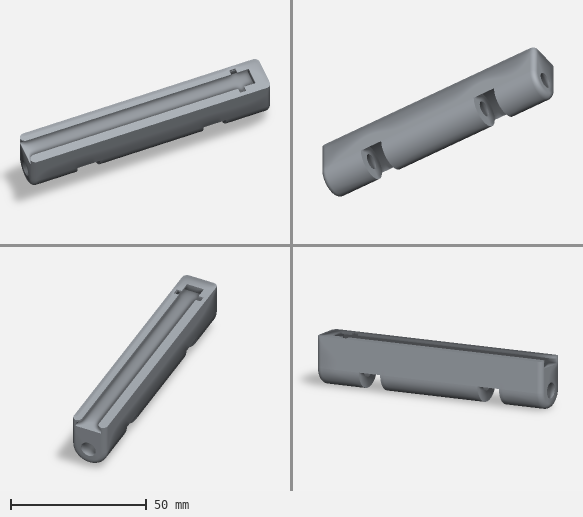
import cadquery as cq
import math

WIDTH = 14.0
LENGTH = 95.0
HEIGHT = 19.0
END_FILLET = 2.0

BORE_DIAMETER = 6.0

SLOT_CENTRE_X = -0.05
SLOT_OPENING = 6.9
SLOT_WIDTH = 10.6
SLOT_DEPTH = 2.75
LIP_THICKNESS = 0.75
SLOT_END_WALL = 5.0
LIP_FILLET = 2.0

LIP_NOTCH_WIDTH = 10.9
LIP_NOTCH_LENGTH = 2.4
LIP_NOTCH_FROM_END = 10.7

GAP_LENGTH = 9.0
GAP_FROM_END = 18.0

underside_radius = WIDTH / 2
top_z = HEIGHT - underside_radius
front_y = -LENGTH / 2
back_y = LENGTH / 2
slot_floor_z = top_z - SLOT_DEPTH
lip_bottom_z = top_z - LIP_THICKNESS
slot_end_y = back_y - SLOT_END_WALL


def slot_block(width, y_range, z_range):
    """Box centred on the slot in X, spanning the given Y and Z ranges."""
    y_start, y_end = y_range
    z_start, z_end = z_range
    return (
        cq.Workplane("XY")
        .box(width, y_end - y_start, z_end - z_start, centered=(True, False, False))
        .translate((SLOT_CENTRE_X, y_start, z_start))
    )


def make_body():
    """Bar with a U-shaped section, rounded along the sides and underside of both ends."""
    bar = (
        cq.Workplane("XZ", origin=(0, back_y, 0))
        .moveTo(-underside_radius, top_z)
        .lineTo(-underside_radius, 0)
        .threePointArc((0, -underside_radius), (underside_radius, 0))
        .lineTo(underside_radius, top_z)
        .close()
        .extrude(LENGTH)
    )
    end_edges = bar.faces("<Y or >Y").edges("not(>Z)")
    return end_edges.fillet(END_FILLET)


def make_bore():
    """Round hole along the whole bar."""
    return cq.Workplane("XZ", origin=(0, back_y, 0)).circle(BORE_DIAMETER / 2).extrude(LENGTH)


def make_slot():
    """T-slot with its cross notch through the lips."""
    undercut = slot_block(SLOT_WIDTH, (front_y, slot_end_y), (slot_floor_z, lip_bottom_z))
    opening = slot_block(SLOT_OPENING, (front_y, slot_end_y), (slot_floor_z, top_z))
    notch_y = back_y - LIP_NOTCH_FROM_END
    notch_range = (notch_y - LIP_NOTCH_LENGTH / 2, notch_y + LIP_NOTCH_LENGTH / 2)
    notch = slot_block(LIP_NOTCH_WIDTH, notch_range, (lip_bottom_z, top_z))
    return undercut.union(opening).union(notch)


def make_lip_flare(side):
    """Cutter that rounds the inner corner of one lip at the open end; side is -1 or +1."""
    inner_x = SLOT_CENTRE_X + side * SLOT_OPENING / 2
    outer_x = inner_x + side * LIP_FILLET
    arc_end_y = front_y + LIP_FILLET
    arc_inset = LIP_FILLET * (1 - math.sqrt(0.5))
    return (
        cq.Workplane("XY", origin=(0, 0, lip_bottom_z))
        .moveTo(inner_x, front_y)
        .lineTo(outer_x, front_y)
        .threePointArc((inner_x + side * arc_inset, front_y + arc_inset), (inner_x, arc_end_y))
        .close()
        .extrude(LIP_THICKNESS)
    )


def make_gap(start_y):
    """Gap for a round hinge knuckle: open below, with an arched roof around the bore axis."""
    return (
        cq.Workplane("XZ", origin=(0, start_y + GAP_LENGTH, 0))
        .moveTo(-underside_radius, -underside_radius)
        .lineTo(-underside_radius, 0)
        .threePointArc((0, underside_radius), (underside_radius, 0))
        .lineTo(underside_radius, -underside_radius)
        .close()
        .extrude(GAP_LENGTH)
    )


result = make_body().cut(make_bore()).cut(make_slot())
for lip_side in (-1, 1):
    result = result.cut(make_lip_flare(lip_side))
for gap_start in (front_y + GAP_FROM_END, back_y - GAP_FROM_END - GAP_LENGTH):
    result = result.cut(make_gap(gap_start))